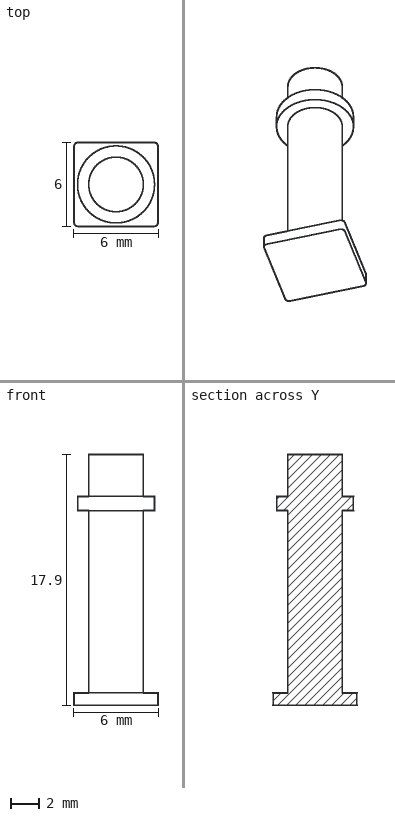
import cadquery as cq

foot_width = 6.0
foot_thickness = 0.9
foot_corner_radius = 0.3

shaft_diameter = 3.9
shaft_length_below_collar = 13.0
shaft_length_above_collar = 3.0

collar_diameter = 5.5
collar_thickness = 1.0

collar_bottom = foot_thickness + shaft_length_below_collar
total_height = collar_bottom + collar_thickness + shaft_length_above_collar


def make_foot():
    """Square plate with rounded vertical corners."""
    plate = cq.Workplane("XY").rect(foot_width, foot_width).extrude(foot_thickness)
    return plate.edges("|Z").fillet(foot_corner_radius)


def make_disc(diameter, bottom, top):
    """Cylinder on the Z axis between two heights."""
    return cq.Workplane("XY").workplane(offset=bottom).circle(diameter / 2).extrude(top - bottom)


shaft = make_disc(shaft_diameter, foot_thickness, total_height)
collar = make_disc(collar_diameter, collar_bottom, collar_bottom + collar_thickness)

result = make_foot().union(shaft).union(collar)